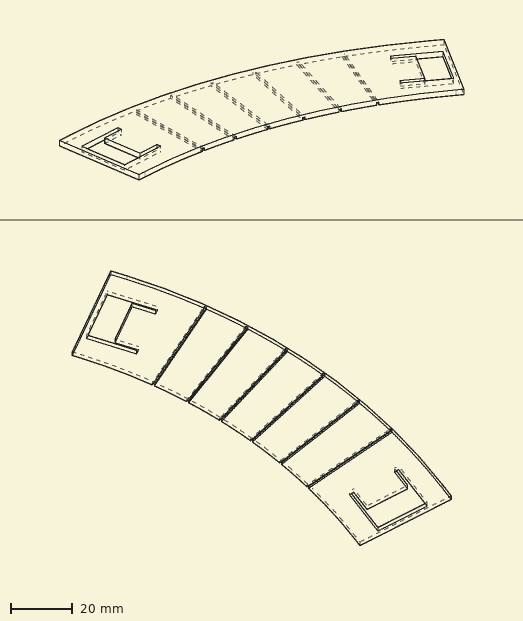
import cadquery as cq
import math

length_y = 135.5
strip_width = 35.0
thickness = 2.0
bend_angle = 36.9
outer_straight = 5.5
inner_straight = 2.7

window_width = 18.8
window_length = 17.3
end_wall = 1.9
side_gap = 1.6
tongue_length = 8.1

groove_count = 6
groove_step_angle = 4.3
groove_width = 0.8
groove_depth = 1.0

bend = math.radians(bend_angle)
outer_radius = (length_y - outer_straight * (1 + math.cos(bend))) / math.sin(bend)
centre_x = outer_radius
centre_y = outer_straight
inner_radius = outer_radius - strip_width + (outer_straight - inner_straight) / math.tan(bend / 2)


def edge_point(edge_x, radius, straight, angle):
    """Point on the arc of an edge that starts at edge_x on the near end."""
    x = edge_x + radius * (1 - math.cos(angle))
    y = straight + radius * math.sin(angle)
    return x, y


def outer_point(angle):
    return edge_point(0, outer_radius, outer_straight, angle)


def inner_point(angle):
    return edge_point(strip_width, inner_radius, inner_straight, angle)


def extend_past_bend(point, distance):
    """Move a point along the direction of the far straight stretch."""
    x, y = point
    return x + distance * math.sin(bend), y + distance * math.cos(bend)


def make_strip():
    return (
        cq.Workplane("XY")
        .moveTo(0, 0)
        .lineTo(*outer_point(0))
        .threePointArc(outer_point(bend / 2), outer_point(bend))
        .lineTo(*extend_past_bend(outer_point(bend), outer_straight))
        .lineTo(*extend_past_bend(inner_point(bend), inner_straight))
        .lineTo(*inner_point(bend))
        .threePointArc(inner_point(bend / 2), inner_point(0))
        .lineTo(strip_width, 0)
        .close()
        .extrude(thickness)
    )


def make_near_window():
    """Cutter for the window at the near end, shaped around its tongue."""
    tongue_width = window_width - 2 * side_gap
    window_top = end_wall + window_length
    window = (
        cq.Workplane("XY")
        .center(strip_width / 2, window_top - window_length / 2)
        .rect(window_width, window_length)
        .extrude(thickness)
    )
    tongue = (
        cq.Workplane("XY")
        .center(strip_width / 2, window_top - tongue_length / 2)
        .rect(tongue_width, tongue_length)
        .extrude(thickness)
    )
    return window.cut(tongue)


def make_far_window(near_window):
    """Mirror the near window across the radial plane halfway round the bend."""
    centre = (centre_x, centre_y, 0)
    normal = (math.sin(bend / 2), math.cos(bend / 2), 0)
    return near_window.mirror(cq.Vector(*normal), centre)


def make_groove(angle):
    """Cutter for one groove, running past both curved edges at this angle in degrees."""
    groove_length = 2 * strip_width
    middle_radius = outer_radius - strip_width / 2
    x = centre_x - middle_radius * math.cos(math.radians(angle))
    y = centre_y + middle_radius * math.sin(math.radians(angle))
    return (
        cq.Workplane("XY")
        .rect(groove_length, groove_width)
        .extrude(groove_depth)
        .rotate((0, 0, 0), (0, 0, 1), -angle)
        .translate((x, y, 0))
    )


near_window = make_near_window()
result = make_strip().cut(near_window).cut(make_far_window(near_window))

first_groove_angle = bend_angle / 2 - groove_step_angle * (groove_count - 1) / 2
for index in range(groove_count):
    result = result.cut(make_groove(first_groove_angle + index * groove_step_angle))